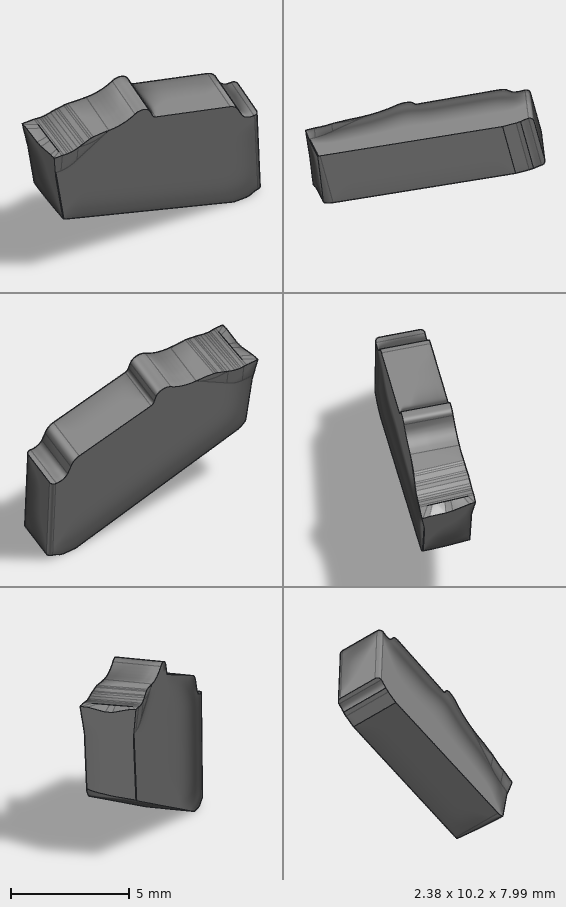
import cadquery as cq
import math

body_width = 2.13
head_width = 2.39
edge_height = 7.18
land_height = 7.49
crest_height = 7.99
length = 10.23
rear_fillet = 0.19
front_chamfer = 0.03
clear = 2.05

half_body = body_width / 2
half_head = head_width / 2
flare = half_head - half_body
flare_rise = 1.13

front_relief = 0.48
relief_drop = 3.77
front_lead = 0.31

breaker_angle = 2.6
dimple_depth = 0.2
dimple_rear = 0.61
dimple_rear_depth = 0.01
lip_depth = 0.015
lip_rear_depth = 0.005


def make_blank():
    """Side outline in (Y, Z), extruded across the full head width."""
    outline = (
        cq.Workplane("YZ", origin=(-half_head, 0, 0))
        .moveTo(-clear, land_height)
        .lineTo(2.97, land_height)
        .threePointArc((3.6, 7.58), (4.2, 7.89))
        .threePointArc((4.51, crest_height), (4.94, 7.69))
        .lineTo(5.03, 7.43)
        .threePointArc((5.08, 7.3), (5.19, 7.22))
        .lineTo(8.73, 6.1)
        .threePointArc((8.98, 5.92), (9.14, 5.64))
        .lineTo(9.3, 5.26)
        .threePointArc((9.5, 5.04), (9.85, 4.97))
        .lineTo(10.08, 4.97)
        .lineTo(length, 0.25)
        .lineTo(10.04, 0.25)
        .threePointArc((9.86, 0.17), (9.69, 0.05))
        .lineTo(9.49, 0)
        .lineTo(8.9, 0)
        .lineTo(0.91, 2.93)
        .threePointArc((0.72, 3.06), (0.48, 3.41))
        .lineTo(-clear, land_height)
        .close()
    )
    return outline.extrude(head_width)


def make_side_cut(side):
    """Body outside the flared head; side is -1 or 1 along X."""
    reach = 2.0
    start = (
        cq.Workplane("YZ", origin=(side * half_body, 0, 0))
        .moveTo(-clear, 6.14)
        .lineTo(0.7, 6.08)
        .threePointArc((1.09, 6.17), (1.45, 6.39))
        .lineTo(5.98, 9.67)
        .lineTo(length + clear, 9.67)
        .lineTo(length + clear, -2 * clear)
        .lineTo(-clear, -2 * clear)
        .close()
    )
    direction = cq.Vector(side * reach * flare, 0, reach * flare_rise)
    return cq.Workplane(cq.Solid.extrudeLinear(start.val(), [], direction))


def make_shoulder_cut(side):
    """Upright hollow that trims the flare below the land."""
    return (
        cq.Workplane("XY")
        .moveTo(side * half_body, 2.86)
        .threePointArc((side * (half_body + 0.035), 2.14), (side * (half_body + 0.1), 1.52))
        .lineTo(side * (half_body + flare + 0.1), 1.52)
        .lineTo(side * (half_body + flare + 0.1), 2.86)
        .close()
        .extrude(land_height + clear)
    )


def make_breaker_cut():
    """Chip breaker profile swept across the head at a slight skew."""
    start = (
        cq.Workplane("YZ", origin=(-half_head, 0, 0))
        .moveTo(-clear, edge_height)
        .lineTo(0.56, edge_height)
        .lineTo(0.65, 7.17)
        .lineTo(0.74, 7.16)
        .lineTo(0.82, 7.15)
        .lineTo(0.9, 7.15)
        .lineTo(1.01, 7.16)
        .lineTo(1.13, 7.18)
        .lineTo(1.33, 7.24)
        .lineTo(1.41, 7.27)
        .lineTo(1.49, 7.3)
        .lineTo(1.61, 7.35)
        .lineTo(1.68, 7.37)
        .lineTo(1.92, 7.45)
        .lineTo(2.0, 7.47)
        .lineTo(2.11, land_height)
        .lineTo(2.11, land_height + clear)
        .lineTo(-clear, land_height + clear)
        .close()
    )
    skew = head_width * math.tan(math.radians(breaker_angle))
    return cq.Workplane(cq.Solid.extrudeLinear(start.val(), [], cq.Vector(head_width, skew, 0)))


def make_front_cut():
    """Everything ahead of the inclined flat front face."""
    along_edge = cq.Vector(head_width, front_lead, 0)
    down_face = cq.Vector(flare, front_relief, -relief_drop)
    plane = cq.Plane((-half_head, 0, edge_height), along_edge, down_face.cross(along_edge))
    return cq.Workplane(plane).rect(4 * length, 4 * length).extrude(2 * clear)


def dimple_section(xs, mean_y, slope, lip, depth):
    """Lipped trapezoid across the head, its Y changing with X by the given slope."""
    floor = edge_height - depth
    top = edge_height + 0.1
    left, lip_left, floor_left, floor_right, lip_right, right = xs
    corners = [
        (left, edge_height), (lip_left, edge_height - lip), (floor_left, floor),
        (floor_right, floor), (lip_right, edge_height - lip), (right, edge_height),
        (right, top), (left, top),
    ]
    points = [cq.Vector(x, mean_y + slope * x, z) for x, z in corners]
    return cq.Wire.makePolygon(points, close=True)


def make_dimple():
    """Dimple that deepens from the chip breaker toward the cutting edge."""
    lead_slope = front_lead / head_width
    front_xs = (-1.15, -0.86, -0.12, 0.18, 0.92, 1.16)
    front = dimple_section(front_xs, front_lead / 2, lead_slope, lip_depth, dimple_depth)
    ahead = front.translate(cq.Vector(0, -0.2, 0))
    rear_slope = math.tan(math.radians(breaker_angle))
    rear_xs = (-0.83, -0.61, -0.07, 0.18, 0.76, 0.94)
    rear = dimple_section(rear_xs, dimple_rear, rear_slope, lip_rear_depth, dimple_rear_depth)
    loft = cq.Workplane(cq.Solid.makeLoft([front, rear], True))
    return loft.union(cq.Workplane(cq.Solid.makeLoft([ahead, front], True)))


result = make_blank()
for side in (-1, 1):
    result = result.cut(make_side_cut(side)).cut(make_shoulder_cut(side))
rear_edges = cq.selectors.BoxSelector((-half_head, 10.09, 2.05), (half_head, length, 3.58))
result = result.edges(rear_edges).fillet(rear_fillet)
result = result.cut(make_breaker_cut()).cut(make_front_cut())
body_edges = cq.selectors.BoxSelector((-half_head, 0, 4.09), (half_head, 0.65, 5.12))
result = result.edges(body_edges).chamfer(front_chamfer)
result = result.cut(make_dimple())